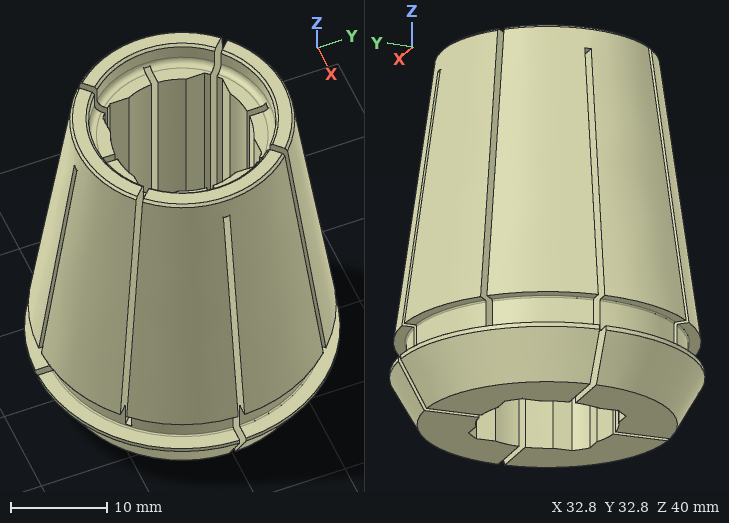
import cadquery as cq
import math

height = 40.0

nose_bottom_radius = 13.5
rim_radius = 16.4
rim_bottom_z = 5.1
rim_top_z = 5.55

neck_radius = 14.65
neck_top_z = 9.05
neck_fillet = 0.15

taper_angle = 8.0
taper_bottom_radius = 16.0
top_chamfer = 0.3

recess_radius = 9.7
recess_depth = 2.8
recess_floor_fillet = 0.8
recess_mouth_chamfer = 0.3

bore_radius = 7.45
square_half_width = 6.7
square_corner_radius = 8.55

slot_width = 0.7
slot_length = 3 * rim_radius
lower_slot_top_z = 37.5
upper_slot_floor_z = 5.9

chamfer_edge_z = height - top_chamfer
taper_height = chamfer_edge_z - neck_top_z
taper_top_radius = taper_bottom_radius - taper_height * math.tan(math.radians(taper_angle))
recess_floor_z = height - recess_depth


def make_body():
    """Revolve the solid outer shape around Z."""
    fillet_mid = neck_fillet * (1 - math.sqrt(0.5))
    return (
        cq.Workplane("XZ")
        .lineTo(nose_bottom_radius, 0)
        .lineTo(rim_radius, rim_bottom_z)
        .lineTo(rim_radius, rim_top_z)
        .lineTo(neck_radius + neck_fillet, rim_top_z)
        .threePointArc(
            (neck_radius + fillet_mid, rim_top_z + fillet_mid),
            (neck_radius, rim_top_z + neck_fillet),
        )
        .lineTo(neck_radius, neck_top_z - neck_fillet)
        .threePointArc(
            (neck_radius + fillet_mid, neck_top_z - fillet_mid),
            (neck_radius + neck_fillet, neck_top_z),
        )
        .lineTo(taper_bottom_radius, neck_top_z)
        .lineTo(taper_top_radius, chamfer_edge_z)
        .lineTo(taper_top_radius - top_chamfer, height)
        .lineTo(0, height)
        .close()
        .revolve(360, (0, 0, 0), (0, 1, 0))
    )


def make_recess():
    """Round pocket with a filleted floor and a chamfered mouth."""
    pocket = (
        cq.Workplane("XY", origin=(0, 0, recess_floor_z))
        .circle(recess_radius)
        .extrude(recess_depth)
        .faces("<Z")
        .edges()
        .fillet(recess_floor_fillet)
    )
    mouth = (
        cq.Workplane("XY", origin=(0, 0, height))
        .circle(recess_radius + recess_mouth_chamfer)
        .extrude(-recess_mouth_chamfer, taper=45)
    )
    return pocket.union(mouth)


def make_bore():
    """Through bore: round hole plus the corner-rounded square hole."""
    square_width = 2 * square_half_width
    corner_limit = cq.Workplane("XY").circle(square_corner_radius).extrude(height)
    square = cq.Workplane("XY").rect(square_width, square_width).extrude(height).intersect(corner_limit)
    return cq.Workplane("XY").circle(bore_radius).extrude(height).union(square)


def make_cross_slots(bottom_z, top_z, angle):
    """Two crossing slots through the full diameter, turned about Z by angle."""
    slots = cq.Workplane("XY", origin=(0, 0, bottom_z))
    slots = slots.rect(slot_length, slot_width).extrude(top_z - bottom_z)
    slots = slots.union(slots.rotate((0, 0, 0), (0, 0, 1), 90))
    return slots.rotate((0, 0, 0), (0, 0, 1), angle)


result = (
    make_body()
    .cut(make_recess())
    .cut(make_bore())
    .cut(make_cross_slots(0, lower_slot_top_z, 0))
    .cut(make_cross_slots(upper_slot_floor_z, height, 45))
)